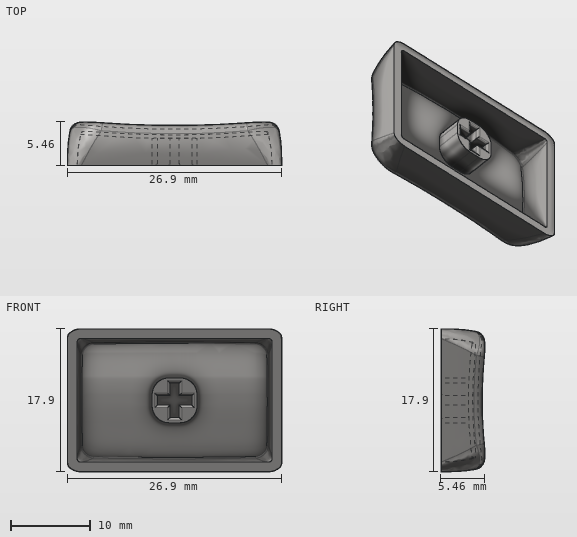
import cadquery as cq
import math

length = 26.85
width = 17.9
rim_wall = 1.24

outer_stations = [(0.0, 0.0), (2.15, 0.05), (4.03, 0.27), (6.05, 0.85)]
rim_corner_x = 1.75
rim_corner_z = 1.24
corner_growth_x = 0.5
corner_growth_z = 0.4

dish_centre_y = 4.56
dish_radius_x = 123.5
dish_radius_z = 53.7
top_fillet = 1.3

floor_y = 3.38
cavity_stations = [(0.0, 0.0, 0.4), (2.42, 0.15, 1.07), (4.83, 0.7, 1.75)]
floor_fillet = 0.15

stem_size = 5.6
stem_corner = 2.1
stem_overlap = 0.55
cross_span = 4.32
cross_arm_x = 1.2
cross_arm_z = 1.15
cross_mouth_fillet = 0.32


def rounded_outline(y, size_x, size_z, corner_x, corner_z):
    """Closed rectangle at height y whose corners are quarter ellipses."""
    half_x = size_x / 2
    half_z = size_z / 2

    def point(x, z):
        return cq.Vector(x, y, z)

    edges = []
    start = None
    first = None
    for sign_x, sign_z in [(1, 1), (-1, 1), (-1, -1), (1, -1)]:
        centre_x = sign_x * (half_x - corner_x)
        centre_z = sign_z * (half_z - corner_z)
        diagonal = math.sqrt(0.5)
        on_side = point(sign_x * half_x, centre_z)
        on_end = point(centre_x, sign_z * half_z)
        middle = point(centre_x + sign_x * corner_x * diagonal, centre_z + sign_z * corner_z * diagonal)
        side_tangent = cq.Vector(0, 0, sign_z)
        end_tangent = cq.Vector(-sign_x, 0, 0)
        corner = [on_side, middle, on_end]
        tangents = [side_tangent, end_tangent]
        if sign_x != sign_z:
            corner.reverse()
            tangents = [end_tangent * -1, side_tangent * -1]
        if start is None:
            first = corner[0]
        else:
            edges.append(cq.Edge.makeLine(start, corner[0]))
        edges.append(cq.Edge.makeSpline(corner, tangents=tangents))
        start = corner[-1]
    edges.append(cq.Edge.makeLine(start, first))
    return cq.Wire.assembleEdges(edges)


def dish_barrel(centre_y):
    """Barrel around an axis along X whose lowest point, at centre_y, carves the dish."""
    half_barrel = length * 0.6
    end_rise = dish_radius_x - math.sqrt(dish_radius_x**2 - half_barrel**2)
    axis_y = centre_y + dish_radius_z
    return (
        cq.Workplane("XY")
        .moveTo(-half_barrel, centre_y + end_rise)
        .threePointArc((0, centre_y), (half_barrel, centre_y + end_rise))
        .lineTo(half_barrel, axis_y)
        .lineTo(-half_barrel, axis_y)
        .close()
        .revolve(360, (-half_barrel, axis_y), (half_barrel, axis_y))
    )


def outer_body():
    sections = []
    for y, inset in outer_stations:
        sections.append(
            rounded_outline(
                y,
                length - 2 * inset,
                width - 2 * inset,
                rim_corner_x + corner_growth_x * y,
                rim_corner_z + corner_growth_z * y,
            )
        )
    body = cq.Workplane(cq.Solid.makeLoft(sections)).cut(dish_barrel(dish_centre_y))
    return body.faces(">Y").edges().fillet(top_fillet)


def cavity():
    sections = []
    for y, inset, corner in cavity_stations:
        size_x = length - 2 * (rim_wall + inset)
        size_z = width - 2 * (rim_wall + inset)
        sections.append(rounded_outline(y, size_x, size_z, corner, corner))
    hollow = cq.Workplane(cq.Solid.makeLoft(sections)).cut(dish_barrel(floor_y))
    return hollow.faces(">Y").edges().fillet(floor_fillet)


def cross_socket():
    arm_along_x = cq.Workplane("XZ").rect(cross_span, cross_arm_x).extrude(-floor_y)
    arm_along_z = cq.Workplane("XZ").rect(cross_arm_z, cross_span).extrude(-floor_y)
    return arm_along_x.union(arm_along_z)


def stem():
    post = (
        cq.Workplane("XZ")
        .rect(stem_size, stem_size)
        .extrude(-(floor_y + stem_overlap))
        .edges("|Y")
        .fillet(stem_corner)
    )
    socketed = post.cut(cross_socket())
    mouth = socketed.faces("<Y").val().innerWires()[0]
    return socketed.newObject(mouth.Edges()).fillet(cross_mouth_fillet)


result = outer_body().cut(cavity()).union(stem())